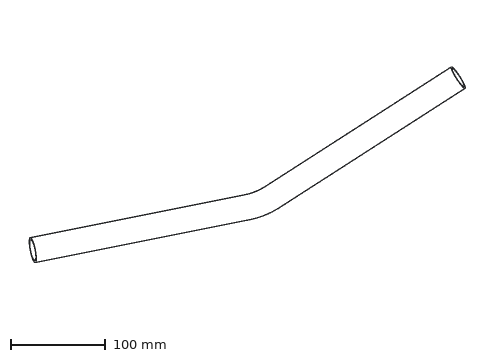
import cadquery as cq
import math

overall_length = 474.0
outer_diameter = 27.0
inner_diameter = 22.5
bend_angle = 30.0
bend_radius = 54.0

outer_radius = outer_diameter / 2
bend_sine = math.sin(math.radians(bend_angle))
bend_cosine = math.cos(math.radians(bend_angle))

leg_length = (overall_length - outer_radius * bend_sine) / (1 + bend_cosine)
bend_setback = bend_radius * math.tan(math.radians(bend_angle / 2))
straight_length = leg_length - bend_setback

bend_start = (straight_length, 0)
bend_middle = (
    straight_length + bend_radius * math.sin(math.radians(bend_angle / 2)),
    bend_radius * (1 - math.cos(math.radians(bend_angle / 2))),
)
bend_end = (
    straight_length + bend_radius * bend_sine,
    bend_radius * (1 - bend_cosine),
)
tilted_end = (
    bend_end[0] + straight_length * bend_cosine,
    bend_end[1] + straight_length * bend_sine,
)
centre_line = (
    cq.Workplane("YZ")
    .moveTo(0, 0)
    .lineTo(*bend_start)
    .threePointArc(bend_middle, bend_end)
    .lineTo(*tilted_end)
)

result = (
    cq.Workplane("XZ")
    .circle(outer_radius)
    .circle(inner_diameter / 2)
    .sweep(centre_line)
)